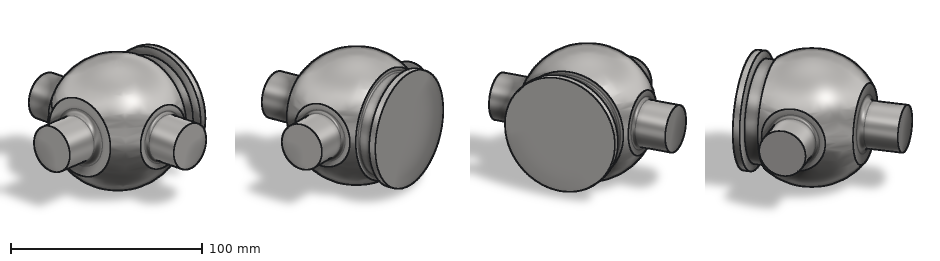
import cadquery as cq

ball_diameter = 73.0
side_flat = 32.0
front_flat = 29.4
back_flat = 20.1

pipe_radius = 12.7
side_reach = 51.2
front_reach = 51.2
side_fillet = 1.5
front_fillet = 3.1

overall_depth = 84.5
flange_radius = 31.9
neck_radius = 27.8
rim_thickness = 3.8
taper_length = 1.4
neck_fillet = 0.8
back_reach = overall_depth - front_reach


def make_ball():
    """Sphere trimmed by the two side flats and the front and back flats."""
    trim = (
        cq.Workplane("XY")
        .box(2 * side_flat, front_flat + back_flat, ball_diameter)
        .translate((0, (back_flat - front_flat) / 2, 0))
    )
    return cq.Workplane("XY").sphere(ball_diameter / 2).intersect(trim)


def make_stub(flat, reach, fillet):
    """Solid pipe stub along -Y, flared by a concave fillet onto its flat."""
    return (
        cq.Workplane("XY")
        .moveTo(0, -flat)
        .lineTo(pipe_radius + fillet, -flat)
        .radiusArc((pipe_radius, -flat - fillet), -fillet)
        .lineTo(pipe_radius, -reach)
        .lineTo(0, -reach)
        .close()
        .revolve(360, (0, 0, 0), (0, 1, 0))
    )


def make_flange():
    """Neck on the back flat, ending in a rim with a tapered underside."""
    rim_start = back_reach - rim_thickness
    return (
        cq.Workplane("XY")
        .moveTo(0, back_flat)
        .lineTo(neck_radius + neck_fillet, back_flat)
        .radiusArc((neck_radius, back_flat + neck_fillet), neck_fillet)
        .lineTo(neck_radius, rim_start - taper_length)
        .lineTo(flange_radius, rim_start)
        .lineTo(flange_radius, back_reach)
        .lineTo(0, back_reach)
        .close()
        .revolve(360, (0, 0, 0), (0, 1, 0))
    )


result = make_ball().union(make_flange())
result = result.union(make_stub(front_flat, front_reach, front_fillet))
for turn in (-90, 90):
    side_stub = make_stub(side_flat, side_reach, side_fillet)
    result = result.union(side_stub.rotate((0, 0, 0), (0, 0, 1), turn))